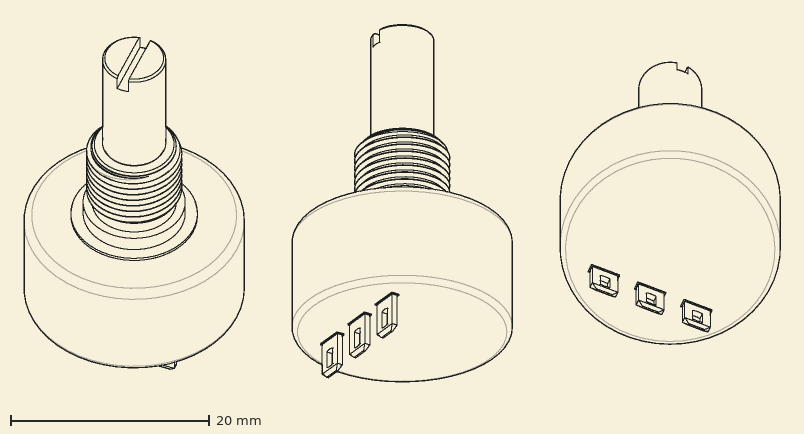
import cadquery as cq
import math

total_height = 37.58
body_bottom = 4.02
body_top = 15.0
disc_top = 15.3
collar_top = 16.9
neck_top = 18.15
bushing_top = 25.18
shaft_bottom = 25.4

body_radius = 11.12
body_top_fillet = 0.8
body_bottom_fillet = 0.55
disc_radius = 6.4
collar_radius = 5.15
neck_radius = 4.25

thread_pitch = 0.795
thread_major_radius = 4.8
thread_root_radius = 4.35
thread_crest_width = 0.055
thread_half_angle = math.radians(30)
thread_crest_height_at_x = 23.8
thread_embed = 0.1
envelope_clearance = 0.38
lead_height = 0.3
lead_chamfer = 0.23

shaft_radius = 3.2
shaft_chamfer = 0.23
shaft_neck_radius = 3.05
slot_width = 1.2
slot_depth = 1.6

terminal_spacing = 5.07
terminal_offset_y = -5.1
terminal_width = 2.8
terminal_thickness = 0.6
terminal_tip_height = 0.53
terminal_tip_width = 1.75
terminal_tip_thickness = 0.2
eyelet_width = 1.05
eyelet_bottom = 0.8
eyelet_top = 2.78
eyelet_end_rise = 0.1
pad_margin = 0.13
pad_height = 0.1


def cylinder(radius, bottom, top):
    return cq.Workplane("XY").workplane(offset=bottom).circle(radius).extrude(top - bottom)


def make_body():
    body = cylinder(body_radius, body_bottom, body_top)
    body = body.faces(">Z").edges().fillet(body_top_fillet)
    body = body.faces("<Z").edges().fillet(body_bottom_fillet)
    disc = cylinder(disc_radius, body_top, disc_top)
    collar = cylinder(collar_radius, disc_top, collar_top)
    neck = cylinder(neck_radius, collar_top, neck_top)
    return body.union(disc).union(collar).union(neck)


def make_thread_ridge():
    """Right-handed helical ridge that starts inside the core and runs past both ends of the bushing."""
    base_radius = thread_root_radius - thread_embed
    half_crest = thread_crest_width / 2
    half_base = half_crest + (thread_major_radius - base_radius) * math.tan(thread_half_angle)
    turns_below = math.ceil((thread_crest_height_at_x - neck_top) / thread_pitch) + 1
    start = thread_crest_height_at_x - turns_below * thread_pitch
    turns = math.ceil((bushing_top - start) / thread_pitch) + 1
    helix = cq.Wire.makeHelix(thread_pitch, turns * thread_pitch, thread_root_radius)
    profile = (
        cq.Workplane("XZ")
        .moveTo(base_radius, -half_base)
        .lineTo(thread_major_radius, -half_crest)
        .lineTo(thread_major_radius, half_crest)
        .lineTo(base_radius, half_base)
        .close()
    )
    return profile.sweep(cq.Workplane(helix), isFrenet=True).translate((0, 0, start))


def make_bushing():
    envelope_radius = thread_major_radius + envelope_clearance
    cone_height = envelope_radius - neck_radius
    lead_bottom = bushing_top - lead_height
    envelope = (
        cq.Workplane("XZ")
        .moveTo(0, neck_top)
        .lineTo(neck_radius, neck_top)
        .lineTo(envelope_radius, neck_top + cone_height)
        .lineTo(envelope_radius, lead_bottom - cone_height)
        .lineTo(neck_radius, lead_bottom)
        .lineTo(neck_radius, bushing_top - lead_chamfer)
        .lineTo(neck_radius - lead_chamfer, bushing_top)
        .lineTo(0, bushing_top)
        .close()
        .revolve(360, (0, 0), (0, 1))
    )
    overrun = 4 * thread_pitch
    core = cylinder(thread_root_radius, neck_top - overrun, bushing_top + overrun)
    return core.union(make_thread_ridge(), clean=False).intersect(envelope, clean=False)


def make_shaft():
    shaft = cylinder(shaft_radius, shaft_bottom, total_height)
    shaft = shaft.faces(">Z").edges().chamfer(shaft_chamfer)
    shaft_neck = cylinder(shaft_neck_radius, bushing_top, shaft_bottom)
    slot = cq.Workplane("XY").box(slot_width, 2 * shaft_radius, 2 * slot_depth)
    return shaft.cut(slot.translate((0, 0, total_height))).union(shaft_neck)


def make_terminal():
    """Flat tab with a tapered tip, a long eyelet and a small pad at its root."""
    blade = (
        cq.Workplane("XY")
        .workplane(offset=terminal_tip_height)
        .rect(terminal_width, terminal_thickness)
        .extrude(body_bottom - terminal_tip_height)
    )
    tip = (
        cq.Workplane("XY")
        .rect(terminal_tip_width, terminal_tip_thickness)
        .workplane(offset=terminal_tip_height)
        .rect(terminal_width, terminal_thickness)
        .loft(ruled=True)
    )
    pad = (
        cq.Workplane("XY")
        .workplane(offset=body_bottom - pad_height)
        .rect(terminal_width + 2 * pad_margin, terminal_thickness + 2 * pad_margin)
        .extrude(pad_height)
    )
    half_eyelet = eyelet_width / 2
    eyelet = (
        cq.Workplane("XZ")
        .moveTo(-half_eyelet, eyelet_bottom + eyelet_end_rise)
        .threePointArc((0, eyelet_bottom), (half_eyelet, eyelet_bottom + eyelet_end_rise))
        .lineTo(half_eyelet, eyelet_top - eyelet_end_rise)
        .threePointArc((0, eyelet_top), (-half_eyelet, eyelet_top - eyelet_end_rise))
        .close()
        .extrude(terminal_thickness, both=True)
    )
    return blade.union(tip).cut(eyelet).union(pad)


result = make_body().union(make_bushing(), clean=False).union(make_shaft(), clean=False)
for position in (-1, 0, 1):
    terminal = make_terminal().translate((position * terminal_spacing, terminal_offset_y, 0))
    result = result.union(terminal, clean=False)